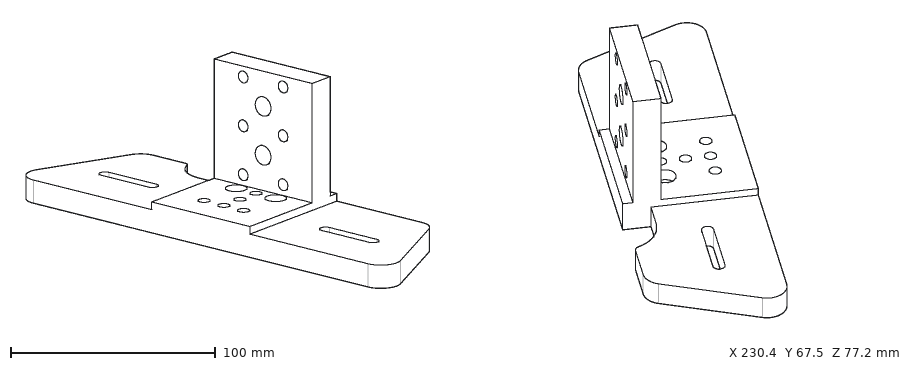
import cadquery as cq
import math

length = 230.4
depth = 67.5
base_thickness = 12.0
corner_radius = 10.0
side_angle = 23.5

pad_width = 61.7
pad_top = 16.0
total_height = 77.2
wall_thickness = 14.0
wall_setback = 5.0

relief_depth = 14.0
relief_radius = 18.5
relief_arc_x = -44.5
relief_lip_radius = 3.0

slot_length = 35.7
slot_width = 6.0
slot_x = 69.3
slot_y = 29.7

screw_diameter = 6.0
counterbore_diameter = 10.5
counterbore_depth = 6.0
pad_hole_pitch = 12.5
pad_hole_y = 30.5
wall_hole_pitch = 25.0
wall_hole_z = 46.5
wall_bore_diameter = 10.0


def make_base():
    angle = math.radians(side_angle)
    front_corner = math.pi / 2 - angle
    front_half = length / 2 - corner_radius + corner_radius / math.tan(front_corner / 2)
    back_half = front_half - depth * math.tan(angle)
    return (
        cq.Workplane("XY")
        .polyline([(-front_half, 0), (front_half, 0), (back_half, depth), (-back_half, depth)])
        .close()
        .extrude(base_thickness)
        .edges("|Z")
        .fillet(corner_radius)
    )


def cut_relief(base):
    floor_y = depth - relief_depth
    center_y = floor_y + relief_radius
    rise = center_y - depth
    end_x = relief_arc_x - math.sqrt(relief_radius**2 - rise**2)
    middle_angle = (math.pi / 2 + math.asin(rise / relief_radius)) / 2
    middle = (
        relief_arc_x - relief_radius * math.sin(middle_angle),
        floor_y + relief_radius * (1 - math.cos(middle_angle)),
    )
    relief = (
        cq.Workplane("XY")
        .moveTo(-pad_width / 2, depth)
        .lineTo(-pad_width / 2, floor_y)
        .lineTo(relief_arc_x, floor_y)
        .threePointArc(middle, (end_x, depth))
        .close()
        .extrude(base_thickness)
    )
    lip = cq.selectors.NearestToPointSelector((end_x, depth, base_thickness / 2))
    return base.cut(relief).edges("|Z").edges(lip).fillet(relief_lip_radius)


def make_block(width, front, back, height):
    block = cq.Workplane("XY").box(width, back - front, height, centered=(True, False, False))
    return block.translate((0, front, 0))


def make_slots():
    return (
        cq.Workplane("XY")
        .pushPoints([(-slot_x, slot_y), (slot_x, slot_y)])
        .slot2D(slot_length, slot_width)
        .extrude(base_thickness)
    )


def vertical_holes(points, diameter, bottom):
    plane = cq.Workplane("XY").workplane(offset=bottom)
    return plane.pushPoints(points).circle(diameter / 2).extrude(pad_top - bottom)


def wall_holes(points, diameter):
    return cq.Workplane("XZ").pushPoints(points).circle(diameter / 2).extrude(-depth)


pad = make_block(pad_width, 0, depth, pad_top)
wall_back = depth - wall_setback
wall = make_block(pad_width, wall_back - wall_thickness, wall_back, total_height)
result = cut_relief(make_base()).union(pad).union(wall).cut(make_slots())

columns = [-pad_hole_pitch, 0, pad_hole_pitch]
front_row = [(x, pad_hole_y - pad_hole_pitch) for x in columns]
back_row = [(x, pad_hole_y + pad_hole_pitch) for x in columns]
counterbored = [back_row[0], back_row[-1]]
result = result.cut(vertical_holes(front_row + [(0, pad_hole_y)] + back_row, screw_diameter, 0))
result = result.cut(vertical_holes(counterbored, counterbore_diameter, pad_top - counterbore_depth))

half_pitch = wall_hole_pitch / 2
screw_points = [
    (x, wall_hole_z + row * wall_hole_pitch)
    for x in (-half_pitch, half_pitch)
    for row in (-1, 0, 1)
]
bore_points = [(0, wall_hole_z - half_pitch), (0, wall_hole_z + half_pitch)]
result = result.cut(wall_holes(screw_points, screw_diameter))
result = result.cut(wall_holes(bore_points, wall_bore_diameter))